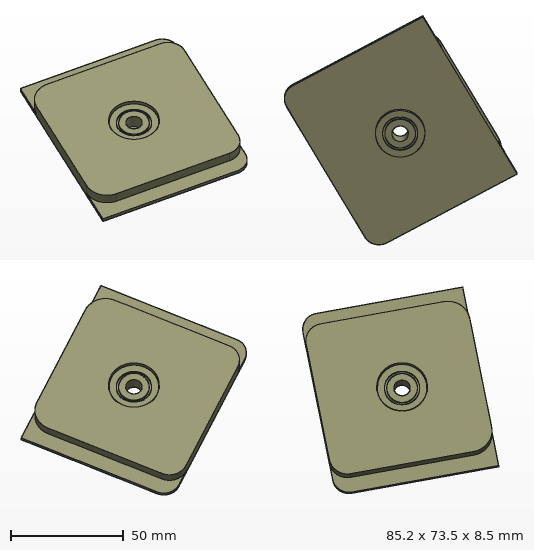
import cadquery as cq

flange_width = 85.2
housing_depth = 73.5
flange_thickness = 1.8
flange_back_radius = 7.3
pad_width = 71.5
pad_height = 5.0
pad_back_radius = 8.0
pad_front_radius = 10.0

bearing_diameter = 22.0
bearing_height = 7.0
bearing_bore = 7.2
bearing_front_offset = 35.5
bearing_protrusion = 1.7
outer_ring_inner_diameter = 15.6
inner_ring_outer_diameter = 13.6
shield_recess = 0.85

seat_clearance_diameter = 22.5
seat_lip_height = flange_thickness

housing_front = -bearing_front_offset
housing_center_y = housing_front + housing_depth / 2
flange_bottom = bearing_protrusion
flange_top = flange_bottom + flange_thickness
seat_lip_top = flange_bottom + seat_lip_height


def make_block(width, height, bottom):
    """Plain block with the depth of the housing."""
    return (
        cq.Workplane("XY", origin=(0, housing_center_y, bottom))
        .rect(width, housing_depth)
        .extrude(height)
    )


def make_ring(outer_diameter, inner_diameter, bottom, height):
    """Plain ring about the bearing axis."""
    return (
        cq.Workplane("XY", origin=(0, 0, bottom))
        .circle(outer_diameter / 2)
        .circle(inner_diameter / 2)
        .extrude(height)
    )


def cut_bearing_seat(body):
    """Through hole that fits the bearing at the lip and clears it above."""
    fit_hole = (
        cq.Workplane("XY", origin=(0, 0, flange_bottom))
        .circle(bearing_diameter / 2)
        .extrude(seat_lip_height)
    )
    clearance_hole = (
        cq.Workplane("XY", origin=(0, 0, seat_lip_top))
        .circle(seat_clearance_diameter / 2)
        .extrude(flange_top + pad_height - seat_lip_top)
    )
    return body.cut(fit_hole).cut(clearance_hole)


def make_housing():
    flange = make_block(flange_width, flange_thickness, flange_bottom)
    flange = flange.edges("|Z and >Y").fillet(flange_back_radius)
    pad = make_block(pad_width, pad_height, flange_top)
    pad = pad.edges("|Z and >Y").fillet(pad_back_radius)
    pad = pad.edges("|Z and <Y").fillet(pad_front_radius)
    return cut_bearing_seat(flange.union(pad))


def make_outer_ring():
    return make_ring(bearing_diameter, outer_ring_inner_diameter, 0, bearing_height)


def make_inner_ring():
    return make_ring(inner_ring_outer_diameter, bearing_bore, 0, bearing_height)


def make_shield():
    """Ring that closes the gap between the two bearing rings."""
    shield_height = bearing_height - 2 * shield_recess
    return make_ring(
        outer_ring_inner_diameter, inner_ring_outer_diameter, shield_recess, shield_height
    )


housing = make_housing()
outer_ring = make_outer_ring()
inner_ring = make_inner_ring()
shield = make_shield()

result = cq.Compound.makeCompound(
    [housing.val(), outer_ring.val(), inner_ring.val(), shield.val()]
)